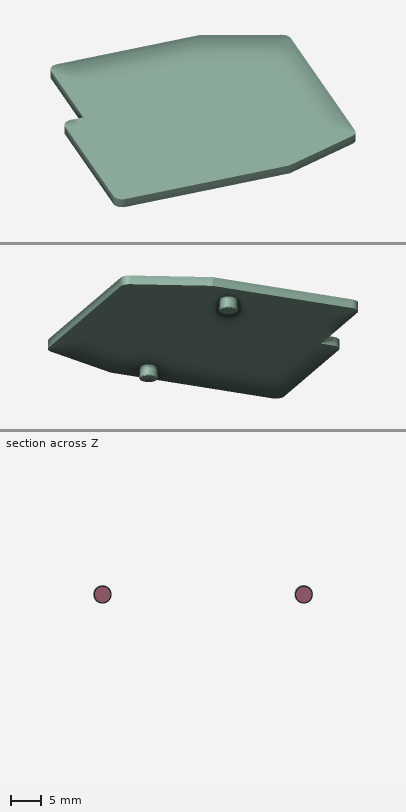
import cadquery as cq

width = 42.0
length = 44.0
thickness = 1.55
corner_radius = 1.55
step_x = 16.5
step_depth = 3.8
taper_length = 13.75
taper_inset = 5.05

pin_length = 2.0
pin_inset = 4.55
pin_y = 25.48
neck_radius = 1.4
neck_length = 0.45
shank_radius = 1.45
lip_radius = 1.55
lip_height = 0.4
lip_chamfer = 0.15


def make_plate():
    """Tapered plate with a stepped front edge; its lower face is at Z = 0."""
    shoulder_y = length - taper_length
    left_front = (0, step_depth)
    step_front = (step_x, 0)
    right_front = (width, 0)
    right_back = (width - taper_inset, length)
    left_back = (taper_inset, length)
    plate = (
        cq.Workplane("XY")
        .polyline([
            left_front,
            (step_x, step_depth),
            step_front,
            right_front,
            (width, shoulder_y),
            right_back,
            left_back,
            (0, shoulder_y),
        ])
        .close()
        .extrude(thickness)
    )
    for x, y in (left_front, step_front, right_front, right_back, left_back):
        corner = cq.selectors.NearestToPointSelector((x, y, thickness / 2))
        plate = plate.edges(corner).fillet(corner_radius)
    return plate


def make_pin(x, y):
    """Round pin with a narrower neck and a chamfered retaining lip."""
    neck = cq.Workplane("XY").circle(neck_radius).extrude(-neck_length)
    shank = (
        cq.Workplane("XY")
        .workplane(offset=-neck_length)
        .circle(shank_radius)
        .extrude(neck_length - pin_length)
    )
    lip = (
        cq.Workplane("XY")
        .workplane(offset=-pin_length)
        .circle(lip_radius)
        .extrude(lip_height)
        .faces("<Z")
        .chamfer(lip_chamfer)
    )
    return neck.union(shank).union(lip).translate((x, y, 0))


result = make_plate()
for pin_x in (pin_inset, width - pin_inset):
    result = result.union(make_pin(pin_x, pin_y))